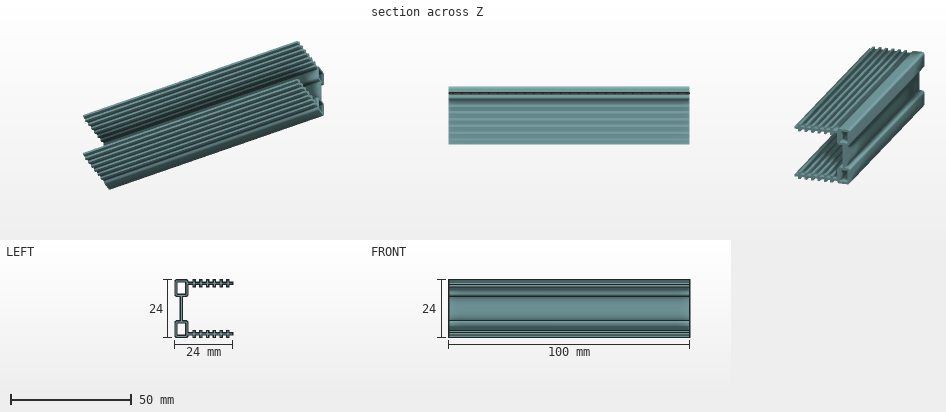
import cadquery as cq

LENGTH = 100.0
DEPTH = 24.0
HEIGHT = 24.0

WALL = 1.0
RAIL_DEPTH = 5.5
RAIL_HEIGHT = 7.0
RAIL_CORNER_RADIUS = 1.0

FIN_COUNT = 6
FIN_THICKNESS = 1.0
FIN_HEIGHT = 3.0
FIN_PITCH = 2.8
FIRST_FIN_FROM_BACK = 8.0

BACK_Y = DEPTH / 2
RAIL_Y = BACK_Y - RAIL_DEPTH / 2
RAIL_Z = (HEIGHT - RAIL_HEIGHT) / 2
FLANGE_Z = (HEIGHT - FIN_HEIGHT) / 2


def bar(depth, height, y, z):
    """Full-length rectangular bar centred at (y, z)."""
    return cq.Workplane("XY").box(LENGTH, depth, height).translate((0, y, z))


def hollow_rail(side):
    """Rectangular tube with rounded outer edges and sharp inner ones."""
    z = side * RAIL_Z
    outer = bar(RAIL_DEPTH, RAIL_HEIGHT, RAIL_Y, z).edges("|X").fillet(RAIL_CORNER_RADIUS)
    cavity = bar(RAIL_DEPTH - 2 * WALL, RAIL_HEIGHT - 2 * WALL, RAIL_Y, z)
    return outer.cut(cavity)


def finned_flange(side):
    """Thin plate rooted in the rail's front wall, with fins standing out on both faces."""
    z = side * FLANGE_Z
    root_from_back = RAIL_DEPTH - WALL / 2
    plate_depth = DEPTH - root_from_back
    flange = bar(plate_depth, WALL, (plate_depth - DEPTH) / 2, z)
    for index in range(FIN_COUNT):
        fin_y = BACK_Y - FIRST_FIN_FROM_BACK - index * FIN_PITCH
        flange = flange.union(bar(FIN_THICKNESS, FIN_HEIGHT, fin_y, z))
    return flange


web_height = HEIGHT - 2 * RAIL_HEIGHT + WALL
result = bar(WALL, web_height, RAIL_Y, 0)

for side in (1, -1):
    result = result.union(hollow_rail(side)).union(finned_flange(side))